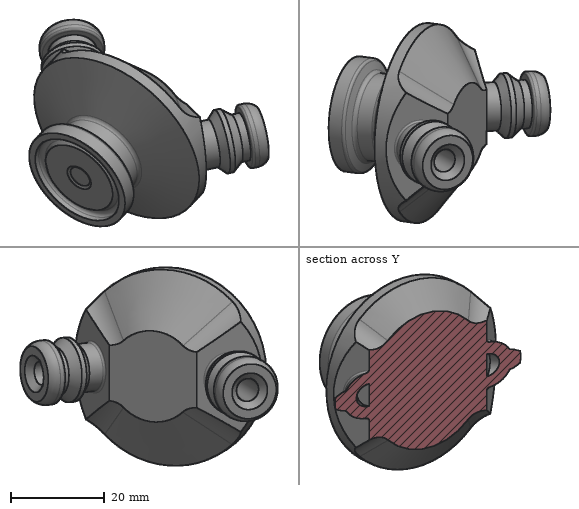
import math

import cadquery as cq

FLANGE_RADIUS = 25.0 / 2
FLANGE_BACK_Y = 3.55
FLANGE_EDGE_ROUND = 0.7
FLANGE_BACK_ANGLE = 20.0
NECK_RADIUS = 19.0 / 2
NECK_ROUND = 1.0
BODY_RADIUS = 43.0 / 2
BODY_FRONT_CONE_Y = 9.45
BODY_RIM_Y = 15.0
BODY_BACK_Y = 27.0
BODY_BACK_RADIUS = 20.0 / 2
PORT_ANGLE = 39.0
SIN_PORT = math.sin(math.radians(PORT_ANGLE))
COS_PORT = math.cos(math.radians(PORT_ANGLE))

RECESS_RADIUS = 21.8 / 2
RECESS_DEPTH = 0.8
DISC_RADIUS = 17.43 / 2
GROOVE_INNER_RADIUS = 19.0 / 2
GROOVE_WALL_ANGLE = 40.0
PIT_MOUTH_RADIUS = 6.2 / 2
PIT_RADIUS = 5.0 / 2
PIT_DEPTH = 0.35

PAD_HALF_ANGLE = 47.0
PAD_FLARE_RADIUS = 6.5
PAD_RISE = 0.02

ENVELOPE_MARGIN = 5.0
ENVELOPE_RADIUS = BODY_RADIUS + ENVELOPE_MARGIN
ENVELOPE_Y = BODY_BACK_Y - (ENVELOPE_RADIUS - BODY_BACK_RADIUS) * SIN_PORT / COS_PORT

PORT_TURNS = (0, 180)
PORT_ORIGIN_Y = 3.2
NOZZLE_LENGTH = 14.5
NOZZLE_RADIUS = 10.5 / 2
BARB_RADIUS = 14.0 / 2
END_FACE_RADIUS = 12.0 / 2
END_ROUND_LENGTH = 2.4
END_BARB_LENGTH = 3.85
END_BARB_BACK_ROUND = 0.5
RIDGE_START = 5.6
RIDGE_CREST_START = 7.8
RIDGE_CREST_END = 8.95
RIDGE_END = RIDGE_CREST_END + (BARB_RADIUS - NOZZLE_RADIUS)
BASE_ROUND = 0.5
ROOT_EMBED = 1.0
BORE_RADIUS = 5.0 / 2
BORE_MOUTH_RADIUS = 8.0 / 2
BORE_MOUTH_DEPTH = BORE_MOUTH_RADIUS - BORE_RADIUS

PAD_DISTANCE = BODY_BACK_RADIUS * SIN_PORT + (BODY_BACK_Y - PORT_ORIGIN_Y) * COS_PORT
PORT_END_DISTANCE = PAD_DISTANCE + NOZZLE_LENGTH

SEAM_TURN = 90
EDGE_TOLERANCE = 0.1


def turn_about_y(shape, degrees):
    return shape.rotate((0, 0, 0), (0, 1, 0), degrees)


def revolve_about_y(profile):
    """Full turn of an XY profile, with its seam moved to the Z side, away from the pads and ports."""
    return turn_about_y(profile.close().revolve(360, (0, 0, 0), (0, 1, 0)), SEAM_TURN)


def round_circle(shape, edge_radius, y, fillet_radius):
    """Fillet the circular edge of the given radius that is centred on the Y axis at height y."""
    reach = edge_radius + EDGE_TOLERANCE
    corner_a = (-reach, y - EDGE_TOLERANCE, -reach)
    corner_b = (reach, y + EDGE_TOLERANCE, reach)
    box = cq.selectors.BoxSelector(corner_a, corner_b, boundingbox=True)
    return shape.edges("%CIRCLE").edges(box).fillet(fillet_radius)


def make_body_blank():
    """Flange, neck and front cone, with the rim cylinder running full length to the back face."""
    back_slope = math.tan(math.radians(FLANGE_BACK_ANGLE))
    flange_root_y = FLANGE_BACK_Y + (FLANGE_RADIUS - NECK_RADIUS) * back_slope
    body = revolve_about_y(
        cq.Workplane("XY")
        .lineTo(FLANGE_RADIUS, 0)
        .lineTo(FLANGE_RADIUS, FLANGE_BACK_Y)
        .lineTo(NECK_RADIUS, flange_root_y)
        .lineTo(NECK_RADIUS, BODY_FRONT_CONE_Y)
        .lineTo(BODY_RADIUS, BODY_RIM_Y)
        .lineTo(BODY_RADIUS, BODY_BACK_Y)
        .lineTo(0, BODY_BACK_Y)
    )

    body = round_circle(body, FLANGE_RADIUS, FLANGE_BACK_Y, FLANGE_EDGE_ROUND)
    body = round_circle(body, NECK_RADIUS, flange_root_y, NECK_ROUND)
    return round_circle(body, NECK_RADIUS, BODY_FRONT_CONE_Y, NECK_ROUND)


def make_flange_recess():
    """Recessed disc face with a centre pit, ringed by a round-bottomed groove."""
    wall_angle = math.radians(GROOVE_WALL_ANGLE)
    groove_radius = (RECESS_RADIUS - GROOVE_INNER_RADIUS) / (1 + math.cos(wall_angle))
    wall_start_y = RECESS_DEPTH + (GROOVE_INNER_RADIUS - DISC_RADIUS) / math.tan(wall_angle)
    groove_centre_y = wall_start_y - groove_radius * math.sin(wall_angle)
    return revolve_about_y(
        cq.Workplane("XY")
        .lineTo(RECESS_RADIUS, 0)
        .lineTo(RECESS_RADIUS, groove_centre_y)
        .threePointArc(
            (RECESS_RADIUS - groove_radius, groove_centre_y + groove_radius),
            (GROOVE_INNER_RADIUS, wall_start_y),
        )
        .lineTo(DISC_RADIUS, RECESS_DEPTH)
        .lineTo(PIT_MOUTH_RADIUS, RECESS_DEPTH)
        .lineTo(PIT_RADIUS, RECESS_DEPTH + PIT_DEPTH)
        .lineTo(0, RECESS_DEPTH + PIT_DEPTH)
    )


def make_pad():
    """Flat pad along the back cone, with concave flares at its sides running out on the cone."""
    pad = (
        cq.Workplane("XY")
        .moveTo(0, ENVELOPE_Y)
        .lineTo(ENVELOPE_RADIUS, ENVELOPE_Y)
        .lineTo(ENVELOPE_RADIUS, ENVELOPE_Y + PAD_RISE)
        .lineTo(BODY_BACK_RADIUS, BODY_BACK_Y + PAD_RISE)
        .lineTo(0, BODY_BACK_Y + PAD_RISE)
        .close()
        .extrude(2 * ENVELOPE_RADIUS, both=True)
    )
    half_width = ENVELOPE_RADIUS * math.tan(math.radians(PAD_HALF_ANGLE))
    sector = (
        cq.Workplane("XZ")
        .polyline([(0, 0), (ENVELOPE_RADIUS, half_width), (ENVELOPE_RADIUS, -half_width)])
        .close()
        .extrude(-2 * BODY_BACK_Y)
    )
    pad = pad.intersect(sector)
    overrun = BODY_RADIUS
    start = cq.Vector(
        BODY_BACK_RADIUS + PAD_FLARE_RADIUS * SIN_PORT - overrun * COS_PORT,
        BODY_BACK_Y + PAD_FLARE_RADIUS * COS_PORT + overrun * SIN_PORT,
        0,
    )
    direction = cq.Vector(COS_PORT, -SIN_PORT, 0)
    length = overrun + 2 * ENVELOPE_RADIUS
    cutter = cq.Workplane(cq.Solid.makeCylinder(PAD_FLARE_RADIUS, length, start, direction))
    for side in (-1, 1):
        pad = pad.cut(turn_about_y(cutter, side * PAD_HALF_ANGLE))
    return pad


def make_back_envelope():
    """Back cone with both pads, oversized beyond the rim, that trims the back of the body blank."""
    envelope = revolve_about_y(
        cq.Workplane("XY")
        .lineTo(ENVELOPE_RADIUS, 0)
        .lineTo(ENVELOPE_RADIUS, ENVELOPE_Y)
        .lineTo(BODY_BACK_RADIUS, BODY_BACK_Y)
        .lineTo(0, BODY_BACK_Y)
    )
    pad = make_pad()
    for turn in PORT_TURNS:
        envelope = envelope.union(turn_about_y(pad, turn))
    return envelope


def place_on_port_axis(shape):
    """Move a shape whose end face is at Y = 0, running towards -Y, onto the +X port axis."""
    return (
        shape.translate((0, PORT_END_DISTANCE, 0))
        .rotate((0, 0, 0), (0, 0, 1), -PORT_ANGLE)
        .translate((0, PORT_ORIGIN_Y, 0))
    )


def make_nozzle():
    """Solid hose nozzle: rounded end barb, ridge and stem, on the +X port axis."""
    end_inset = BARB_RADIUS - END_FACE_RADIUS
    end_round_radius = (END_ROUND_LENGTH**2 + end_inset**2) / (2 * end_inset)
    nozzle = revolve_about_y(
        cq.Workplane("XY")
        .lineTo(END_FACE_RADIUS, 0)
        .radiusArc((BARB_RADIUS, -END_ROUND_LENGTH), end_round_radius)
        .lineTo(BARB_RADIUS, -END_BARB_LENGTH + END_BARB_BACK_ROUND)
        .radiusArc((BARB_RADIUS - END_BARB_BACK_ROUND, -END_BARB_LENGTH), END_BARB_BACK_ROUND)
        .lineTo(NOZZLE_RADIUS, -END_BARB_LENGTH)
        .lineTo(NOZZLE_RADIUS, -RIDGE_START)
        .lineTo(BARB_RADIUS, -RIDGE_CREST_START)
        .lineTo(BARB_RADIUS, -RIDGE_CREST_END)
        .lineTo(NOZZLE_RADIUS, -RIDGE_END)
        .lineTo(NOZZLE_RADIUS, -NOZZLE_LENGTH + BASE_ROUND)
        .radiusArc((NOZZLE_RADIUS + BASE_ROUND, -NOZZLE_LENGTH), -BASE_ROUND)
        .lineTo(NOZZLE_RADIUS + BASE_ROUND, -NOZZLE_LENGTH - ROOT_EMBED)
        .lineTo(0, -NOZZLE_LENGTH - ROOT_EMBED)
    )
    return place_on_port_axis(nozzle)


def make_bore():
    """Countersunk bore running the length of the nozzle."""
    bore = revolve_about_y(
        cq.Workplane("XY")
        .lineTo(BORE_MOUTH_RADIUS, 0)
        .lineTo(BORE_RADIUS, -BORE_MOUTH_DEPTH)
        .lineTo(BORE_RADIUS, -NOZZLE_LENGTH)
        .lineTo(0, -NOZZLE_LENGTH)
    )
    return place_on_port_axis(bore)


result = make_body_blank().intersect(make_back_envelope()).cut(make_flange_recess())
nozzle = make_nozzle().cut(make_bore())
for turn in PORT_TURNS:
    result = result.union(turn_about_y(nozzle, turn))